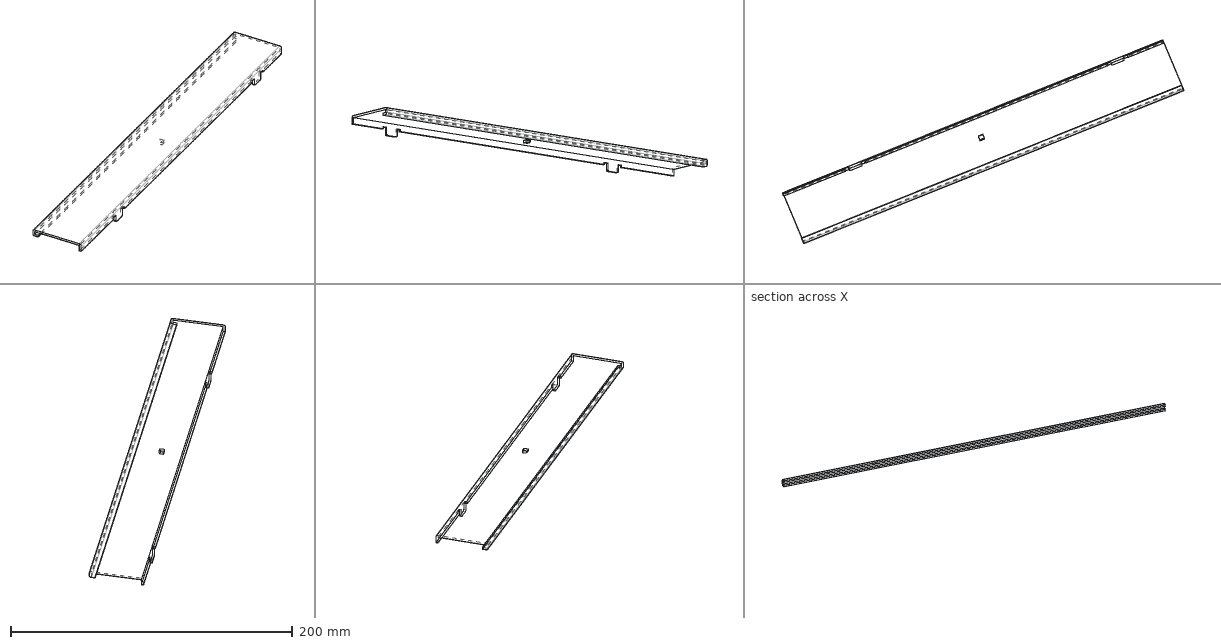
import cadquery as cq

length = 292.0
width = 39.5
tab_depth = 10.5

sheet = 1.6
bend_radius = 1.6
hook_depth = 5.3
hook_reach = 4.5
flange_depth = 6.0

tab_width = 9.5
tab_corner_radius = 1.2
tab_positions = (-90.5, 111.0)
relief_width = 3.0
relief_top = -4.7

lug_size = 3.5
lug_height = 1.8
lug_chamfer = 1.0
lug_x = 3.2

left = -width / 2
right = width / 2


def make_channel():
    """Cover sheet with a returned hook on the left and a full-depth flange on the right."""
    profile = [
        (left, 0),
        (right, 0),
        (right, -tab_depth),
        (right - sheet, -tab_depth),
        (right - sheet, -sheet),
        (left + sheet, -sheet),
        (left + sheet, -hook_depth + sheet),
        (left + hook_reach, -hook_depth + sheet),
        (left + hook_reach, -hook_depth),
        (left, -hook_depth),
    ]
    channel = cq.Workplane("XZ").polyline(profile).close().extrude(length / 2, both=True)
    for x, z in [(left, 0), (right, 0), (left, -hook_depth)]:
        bend = cq.selectors.NearestToPointSelector((x, 0, z))
        channel = channel.edges(bend).fillet(bend_radius)
    return channel


def flange_block(y_start, y_end, bottom, top):
    """Block as thick as the right flange, spanning the given Y and Z ranges."""
    return cq.Workplane("XY").box(sheet, y_end - y_start, top - bottom, centered=False).translate(
        (right - sheet, y_start, bottom)
    )


def make_tab(y):
    """Tab with rounded lower corners, reaching up into the flange."""
    tab = flange_block(y - tab_width / 2, y + tab_width / 2, -tab_depth, relief_top)
    return tab.edges("|X and <Z").fillet(tab_corner_radius)


def trim_flange(body):
    """Shorten the flange between the tabs and cut a relief on both sides of each tab."""
    body = body.cut(flange_block(-length / 2, length / 2, -tab_depth, -flange_depth))
    for y in tab_positions:
        half_slot = tab_width / 2 + relief_width
        body = body.cut(flange_block(y - half_slot, y + half_slot, -flange_depth, relief_top))
        body = body.union(make_tab(y))
    return body


def make_lug():
    """Square lug rooted in the sheet, with its lower left edge chamfered."""
    root = sheet / 2
    lug = cq.Workplane("XY").rect(lug_size, lug_size).extrude(-(lug_height + root))
    lug = lug.faces("<Z").edges("<X").chamfer(lug_chamfer)
    return lug.translate((lug_x, 0, -root))


result = trim_flange(make_channel()).union(make_lug())